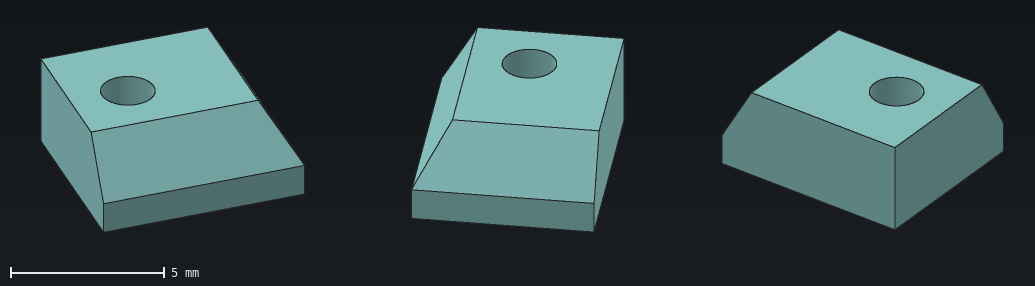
import cadquery as cq
import math

length_x = 6.03
length_y = 6.99
height = 3.17

slope_angle = 60.0
slope_run = 1.19
slope_drop = slope_run * math.tan(math.radians(slope_angle))

hole_diameter = 1.78
hole_x = 2.84
hole_y = 2.0


def make_block():
    """Plain block with its lower -X, -Y corner at the origin."""
    return cq.Workplane("XY").box(length_x, length_y, height, centered=False)


def slope_wedge(plane, run_end, extent):
    """Triangular prism that removes the top corner ending at run_end."""
    return (
        cq.Workplane(plane)
        .moveTo(run_end - slope_run, height)
        .lineTo(run_end, height - slope_drop)
        .lineTo(run_end, height)
        .close()
        .extrude(extent)
    )


def drill_hole(block):
    """Vertical hole through the full height."""
    drill = cq.Workplane("XY").center(hole_x, hole_y).circle(hole_diameter / 2).extrude(height)
    return block.cut(drill)


block = make_block()
block = block.cut(slope_wedge("XZ", length_x, -length_y))
block = block.cut(slope_wedge("YZ", length_y, length_x))
result = drill_hole(block)